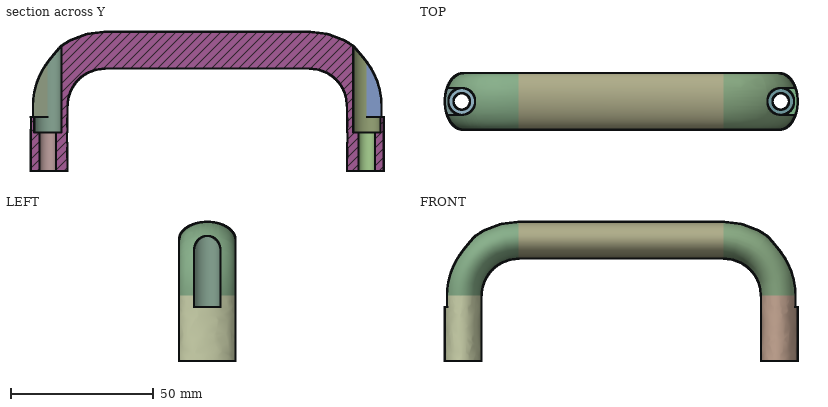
import cadquery as cq
import math

length = 124.0
height = 49.0
grip_width = 20.0
grip_thickness = 13.0

bend_radius_outer = 26.0
bend_radius = bend_radius_outer - grip_thickness / 2

hole_spacing = 112.0
hole_diameter = 5.7
seat_diameter = 9.4
seat_height = 13.6
opening_height = 19.1

leg_x = (length - grip_thickness) / 2
bar_z = height - grip_thickness / 2
bend_z = bar_z - bend_radius
bend_x = leg_x - bend_radius


def handle_body():
    """Sweep the elliptical section up one leg, along the bar and down the other."""
    path = (
        cq.Workplane("XZ")
        .moveTo(-leg_x, 0)
        .lineTo(-leg_x, bend_z)
        .tangentArcPoint((-bend_x, bar_z), relative=False)
        .lineTo(bend_x, bar_z)
        .tangentArcPoint((leg_x, bend_z), relative=False)
        .lineTo(leg_x, 0)
    )
    section = cq.Workplane("XY").center(-leg_x, 0).ellipse(grip_thickness / 2, grip_width / 2)
    return section.sweep(path)


def screw_hole(x):
    """Vertical clearance hole through the foot of a leg."""
    return cq.Workplane("XY").center(x, 0).circle(hole_diameter / 2).extrude(height)


def screw_seat(x):
    """Round counterbore for the screw head, running up through the bend."""
    seat_plane = cq.Workplane("XY", origin=(x, 0, seat_height))
    return seat_plane.circle(seat_diameter / 2).extrude(height - seat_height)


def side_opening(x):
    """Slot as wide as the counterbore that opens its upper part to the outer end."""
    outer_x = math.copysign(length / 2, x)
    opening_plane = cq.Workplane("XY", origin=((x + outer_x) / 2, 0, opening_height))
    return opening_plane.rect(abs(outer_x - x), seat_diameter).extrude(height - opening_height)


result = handle_body()
for hole_x in (-hole_spacing / 2, hole_spacing / 2):
    result = result.cut(screw_hole(hole_x))
    result = result.cut(screw_seat(hole_x))
    result = result.cut(side_opening(hole_x))